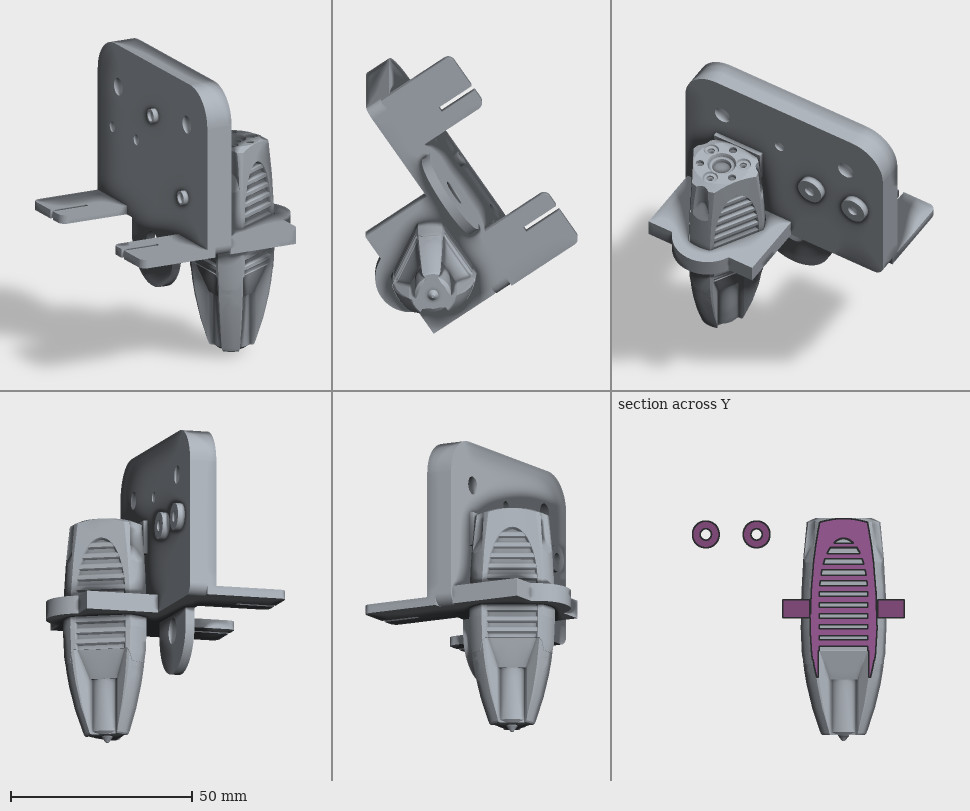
import cadquery as cq
import math


far = 30

sheet = 2.6
bracket_width = 64
bracket_top = 47.5
outer_corner_radius = 10
lobe_radius = 12
lobe_z = -4.5
lobe_hole_diameter = 7.2
tab_width = 17
tab_thickness = 2.5
tab_reach = 20.4
tab_corner_radius = 2
tab_slot_width = 1.5
tab_slot_length = 11
tab_slot_inset = 10.5

plate_thickness = 5
plate_foot_radius = 3
mount_hole_diameter = 5
mount_hole_points = [(-20, 35.5), (20, 35.5)]
boss_hole_diameter = 3
boss_hole_points = [(-23.5, 23), (-9.5, 23)]
boss_diameter = 7.5
boss_height = 2
nub_points = [(1.5, 33.1), (19, 14.2)]
nub_diameter = 4
nub_bore_diameter = 3
nub_reach = sheet + 1.5

tool_x = 14.5
tool_y = 14.35
shelf_height = 5
shelf_width = 33.6
shelf_rear = 25.5
split_y = tool_y - 2.65
bump_radius = 9.8
bump_rear = 31.58
wedge_radius = 8.9
wedge_angle = 30

tool_top = 27.5
tool_bottom = -32.3
bottom_chamfer = 0.4
widest_z = -3
side_widest, side_top, side_bottom = 8.75, 7.9, 5.1
corner_widest, corner_top, corner_bottom = 12.2, 10.3, 6.3
hub_radius = 7.8
rim_z = 26.4
side_angles = [-90, 30, 150]
corner_angles = [90, 210, 330]

seam_z = -9.2
seam_step = 0.12
seam_tongue_bottom = -12.7
seam_tongue_widths = (7.4, 4.2)

panel_half_width = 6.1
panel_arch_z = 6
panel_top = 21.4
panel_depth = 0.9
panel_rim_slope = 30
panel_flare_length = 3
rib_pitch = 3
rib_lowest_z = -10
rib_count = 11
rib_base = 2.2
rib_crest = 1.0
rib_drop = 0.15

window_root = (3.26, 3.8)
window_lip = (4.1, 5.3)
window_splay = 47
ramp_bottom_z = -17
barrel_diameter = 10
barrel_bottom = -31.5
barrel_end_diameter = 8
tip_diameter = 3
tip_shoulder_z = -32.6
tip_end_diameter = 0.8
tip_z = -34

groove_diameter = 5.4
groove_axis_radius = 12.1
groove_floor_inner = (9.4, 20.2)
groove_floor_outer = (11.8, 14.5)

recess_diameter = 8
recess_floor_diameter = 7.2
recess_depth = 1
socket_diameter = 5.4
socket_floor_diameter = 4.8
socket_depth = 1
screw_circle_radius = 6
screw_recess_diameter = 4.2
screw_recess_floor_diameter = 3.8
screw_recess_depth = 0.5
screw_drive_diameter = 2.05
screw_drive_depth = 0.5
screw_drive_cone = (1.4, 0.2)
pin_hole_diameter = 2.3
pin_hole_depth = 1

pad_width = 15
pad_bottom = 18.3
pad_root = 8.1


def hole_cutter(points, diameter):
    """Long cylinders along Y at the given (x, z) points."""
    return cq.Workplane("XZ").pushPoints(points).circle(diameter / 2).extrude(far, both=True)


def front_disc(points, diameter, y_start, length):
    """Cylinders along +Y that start at y_start."""
    return (cq.Workplane("XZ", origin=(0, y_start, 0)).pushPoints(points)
            .circle(diameter / 2).extrude(-length))


def rounded_panel(y_start, thickness):
    """Upright panel with its two upper corners rounded."""
    return (cq.Workplane("XY").box(bracket_width, thickness, bracket_top, centered=(True, False, False))
            .edges("|Y and >Z").fillet(outer_corner_radius).translate((0, y_start, 0)))


def tab(side):
    """Forward tab with an open slot; side is -1 for left, 1 for right."""
    outer_x = side * bracket_width / 2
    middle_x = outer_x - side * tab_width / 2
    slot_x = outer_x - side * (tab_slot_inset + tab_slot_width / 2)
    front_y = -sheet - tab_reach
    plate = (cq.Workplane("XY")
             .box(tab_width, tab_reach + sheet, tab_thickness, centered=(True, False, False))
             .edges("|Z and <Y").fillet(tab_corner_radius).translate((middle_x, front_y, 0)))
    slot = (cq.Workplane("XY")
            .box(tab_slot_width, tab_slot_length, tab_thickness, centered=(True, False, False))
            .translate((slot_x, front_y, 0)))
    return plate.cut(slot)


def make_bracket():
    lobe = (cq.Workplane("XZ").moveTo(-lobe_radius, sheet).lineTo(-lobe_radius, lobe_z)
            .threePointArc((0, lobe_z - lobe_radius), (lobe_radius, lobe_z))
            .lineTo(lobe_radius, sheet).close().extrude(sheet))
    body = rounded_panel(-sheet, sheet).union(lobe)
    for side in (-1, 1):
        body = body.union(tab(side))
    body = body.cut(hole_cutter(mount_hole_points, mount_hole_diameter))
    body = body.cut(hole_cutter(boss_hole_points, boss_hole_diameter))
    body = body.cut(hole_cutter(nub_points, nub_diameter))
    return body.cut(hole_cutter([(0, lobe_z)], lobe_hole_diameter))


def shelf_block(y_start, y_end):
    return (cq.Workplane("XY").box(shelf_width, y_end - y_start, shelf_height, centered=(True, False, False))
            .translate((tool_x, y_start, 0)))


def tool_axis_prism(points):
    """Shelf-high prism whose outline is given relative to the tool axis."""
    return (cq.Workplane("XY").polyline(points).close().extrude(shelf_height)
            .translate((tool_x, tool_y, 0)))


def corner_cylinder():
    return cq.Workplane("XY").center(tool_x, tool_y).circle(corner_widest).extrude(shelf_height)


def make_plate():
    """Rear plate with its bosses, nubs and the front half of the shelf."""
    body = rounded_panel(0, plate_thickness).edges("|Y and <Z").fillet(plate_foot_radius)
    body = body.union(front_disc(boss_hole_points, boss_diameter, 0, plate_thickness + boss_height))
    body = body.union(front_disc(nub_points, nub_diameter, -nub_reach, nub_reach))
    body = body.union(shelf_block(plate_thickness, split_y))
    body = body.cut(hole_cutter(mount_hole_points, mount_hole_diameter))
    body = body.cut(hole_cutter(boss_hole_points, boss_hole_diameter))
    body = body.cut(hole_cutter(nub_points, nub_bore_diameter))
    seat = tool_axis_prism([(-far, -side_widest), (far, -side_widest), (far, far), (-far, far)])
    return body.cut(seat.intersect(corner_cylinder()))


def make_clamp():
    """Rear half of the shelf: a bar with a rounded bump and a V-shaped seat."""
    slope = math.tan(math.radians(wedge_angle))
    arc_y = bump_rear - bump_radius
    tangent_x = bump_radius * math.cos(math.radians(wedge_angle))
    tangent_y = arc_y + bump_radius * math.sin(math.radians(wedge_angle))
    foot_x = tangent_x + (tangent_y - shelf_rear) * slope
    bump = (cq.Workplane("XY").moveTo(-foot_x, shelf_rear).lineTo(-tangent_x, tangent_y)
            .threePointArc((0, bump_rear), (tangent_x, tangent_y)).lineTo(foot_x, shelf_rear)
            .close().extrude(shelf_height).translate((tool_x, 0, 0)))
    apex_y = wedge_radius / math.sin(math.radians(wedge_angle))
    wedge_half_width = (apex_y + far) * slope
    wedge = tool_axis_prism([(-wedge_half_width, -far), (wedge_half_width, -far), (0, apex_y)])
    return shelf_block(split_y, shelf_rear).union(bump).cut(wedge.intersect(corner_cylinder()))


def arc_radius(sag, height):
    return (height ** 2 + sag ** 2) / (2 * sag)


def bulge(z, widest, top_value, top_z, bottom_value):
    """Distance from the axis of a barrel-shaped surface made of two arcs that meet at widest_z."""
    if z > widest_z:
        radius = arc_radius(widest - top_value, top_z - widest_z)
    else:
        radius = arc_radius(widest - bottom_value, widest_z - tool_bottom)
    return widest - radius + math.sqrt(radius ** 2 - (z - widest_z) ** 2)


def side_radius(z):
    return bulge(z, side_widest, side_top, tool_top, side_bottom)


def corner_radius_at(z):
    return bulge(z, corner_widest, corner_top, rim_z, corner_bottom)


def barrel_outline(radius_at, upper_z, inset, inner):
    """Half profile in (r, z) with the two bulging arcs on its outside, up to upper_z."""
    def point(z):
        return (radius_at(z) - inset, z)

    chamfer_z = tool_bottom + bottom_chamfer
    bottom_r = point(chamfer_z)[0]
    return (cq.Workplane("XZ").moveTo(inner, tool_bottom).lineTo(bottom_r - bottom_chamfer, tool_bottom)
            .lineTo(bottom_r, chamfer_z)
            .threePointArc(point((chamfer_z + widest_z) / 2), point(widest_z))
            .threePointArc(point((widest_z + upper_z) / 2), point(upper_z)))


def side_slab(inset):
    """Everything inside one bulging side; the side faces +X."""
    return (barrel_outline(side_radius, tool_top, inset, -far).lineTo(-far, tool_top)
            .close().extrude(far, both=True))


def facing(shape, angle):
    return shape.rotate((0, 0, 0), (0, 0, 1), angle)


def envelope(inset):
    """Plain three-sided body with rounded corners."""
    body = (barrel_outline(corner_radius_at, rim_z, inset, 0).lineTo(hub_radius, tool_top)
            .lineTo(0, tool_top).close().revolve(360, (0, 0, 0), (0, 1, 0)))
    for angle in side_angles:
        body = body.intersect(facing(side_slab(inset), angle))
    return body


def radial_prism(points):
    """Prism along +X with its outline in (tangent, z)."""
    return cq.Workplane("YZ").polyline(points).close().extrude(far)


def tangent_prism(points, half_width):
    """Prism across the side, with its outline in (r, z)."""
    return cq.Workplane("XZ").polyline(points).close().extrude(half_width, both=True)


def upper_shell():
    """Region of the upper shell: all above the seam and a tongue down each corner."""
    region = (cq.Workplane("XY").box(2 * far, 2 * far, tool_top - seam_z, centered=(True, True, False))
              .translate((0, 0, seam_z)))
    upper, lower = (width / 2 for width in seam_tongue_widths)
    tongue = radial_prism([(-upper, seam_z), (-lower, seam_tongue_bottom),
                           (lower, seam_tongue_bottom), (upper, seam_z)])
    for angle in corner_angles:
        region = region.union(facing(tongue, angle))
    return region


def grip_panel():
    """Cutter for one arched, ribbed grip panel whose rim flares outwards."""
    arch = (cq.Workplane("YZ", origin=(side_top - panel_depth, 0, 0))
            .moveTo(-panel_half_width, seam_z).lineTo(panel_half_width, seam_z)
            .lineTo(panel_half_width, panel_arch_z)
            .ellipseArc(panel_half_width, panel_top - panel_arch_z, 0, 180, startAtCurrent=True)
            .close().extrude(panel_flare_length, taper=-panel_rim_slope))
    cutter = arch.cut(side_slab(panel_depth))
    for index in range(rib_count):
        z = rib_lowest_z + index * rib_pitch
        crest_r = side_radius(z) - rib_drop
        root_r = crest_r - panel_depth
        cutter = cutter.cut(tangent_prism([(root_r, z - rib_base / 2), (crest_r, z - rib_crest / 2),
                                           (crest_r, z + rib_crest / 2), (root_r, z + rib_base / 2)], far))
    return cutter


def nose_window():
    """Cutter for one window in the nose, open outwards between two splayed walls, with a ramp on top."""
    root_t, root_r = window_root
    lip_t, lip_r = window_lip
    open_t = lip_t + (far - lip_r) * math.tan(math.radians(window_splay))
    outline = [(root_r, root_t), (lip_r, lip_t), (far, open_t),
               (far, -open_t), (lip_r, -lip_t), (root_r, -root_t)]
    window = (cq.Workplane("XY", origin=(0, 0, tool_bottom)).polyline(outline).close()
              .extrude(seam_z - tool_bottom))
    ramp = tangent_prism([(0, seam_z), (side_radius(seam_z) - panel_depth, seam_z),
                          (barrel_diameter / 2, ramp_bottom_z), (0, ramp_bottom_z)], far)
    return window.cut(ramp)


def corner_groove():
    """Cutter for the scooped groove at the top of one corner, with a steep floor."""
    bore = (cq.Workplane("XY").circle(groove_diameter / 2).extrude(far)
            .translate((groove_axis_radius, 0, 0)))
    inner_r, inner_z = groove_floor_inner
    outer_r, outer_z = groove_floor_outer
    above_floor = tangent_prism([(inner_r, far), (inner_r, inner_z), (outer_r, outer_z), (far, outer_z),
                                 (far, far)], far)
    return bore.intersect(above_floor)


def barrel_and_tip():
    """Nozzle barrel and pointed tip along the axis."""
    return (cq.Workplane("XZ").moveTo(0, seam_z).lineTo(barrel_diameter / 2, seam_z)
            .lineTo(barrel_diameter / 2, barrel_bottom).lineTo(barrel_end_diameter / 2, tool_bottom)
            .lineTo(tip_diameter / 2, tool_bottom).lineTo(tip_diameter / 2, tip_shoulder_z)
            .lineTo(tip_end_diameter / 2, tip_z).lineTo(0, tip_z).close()
            .revolve(360, (0, 0, 0), (0, 1, 0)))


def blind_hole(center, diameter, floor_diameter, depth, start_z):
    """Round recess that goes down from start_z, straight or narrowing to its floor."""
    return (cq.Workplane("XY", origin=(*center, start_z)).circle(diameter / 2)
            .workplane(offset=-depth).circle(floor_diameter / 2).loft())


def top_screw(center):
    """Cutter for one screw: tapered recess, round drive hole and a cone below it."""
    head_z = tool_top - screw_recess_depth
    drive_floor_z = head_z - screw_drive_depth
    recess = blind_hole(center, screw_recess_diameter, screw_recess_floor_diameter,
                        screw_recess_depth, tool_top)
    drive = blind_hole(center, screw_drive_diameter, screw_drive_diameter, screw_drive_depth, head_z)
    cone = blind_hole(center, *screw_drive_cone, screw_drive_depth, drive_floor_z)
    return recess.union(drive).union(cone)


def cut_top_details(body):
    """Central stepped recess, three screws and three pin holes in the top face."""
    middle = (0, 0)
    socket_z = tool_top - recess_depth
    body = body.cut(blind_hole(middle, recess_diameter, recess_floor_diameter, recess_depth, tool_top))
    body = body.cut(blind_hole(middle, socket_diameter, socket_floor_diameter, socket_depth, socket_z))
    for angle in corner_angles:
        x = screw_circle_radius * math.cos(math.radians(angle))
        y = screw_circle_radius * math.sin(math.radians(angle))
        body = body.cut(top_screw((x, y)))
        body = body.cut(blind_hole((-x, -y), pin_hole_diameter, pin_hole_diameter, pin_hole_depth, tool_top))
    return body


def make_tool():
    shell = upper_shell()
    body = envelope(0).intersect(shell).union(envelope(seam_step).cut(shell))
    for angle in side_angles:
        body = body.cut(facing(grip_panel(), angle)).cut(facing(nose_window(), angle))
    for angle in corner_angles:
        body = body.cut(facing(corner_groove(), angle))
    body = cut_top_details(body.union(barrel_and_tip()))
    pad_front = plate_thickness - tool_y
    pad_depth = -pad_front - pad_root
    pad = (cq.Workplane("XY").box(pad_width, pad_depth, tool_top - pad_bottom, centered=(True, False, False))
           .translate((0, pad_front, pad_bottom)))
    return body.union(pad).translate((tool_x, tool_y, 0))


bracket = make_bracket()
plate = make_plate()
clamp = make_clamp()
tool = make_tool()
result = cq.Compound.makeCompound([
    bracket.solids().val(),
    plate.solids().val(),
    clamp.solids().val(),
    tool.solids().val(),
])